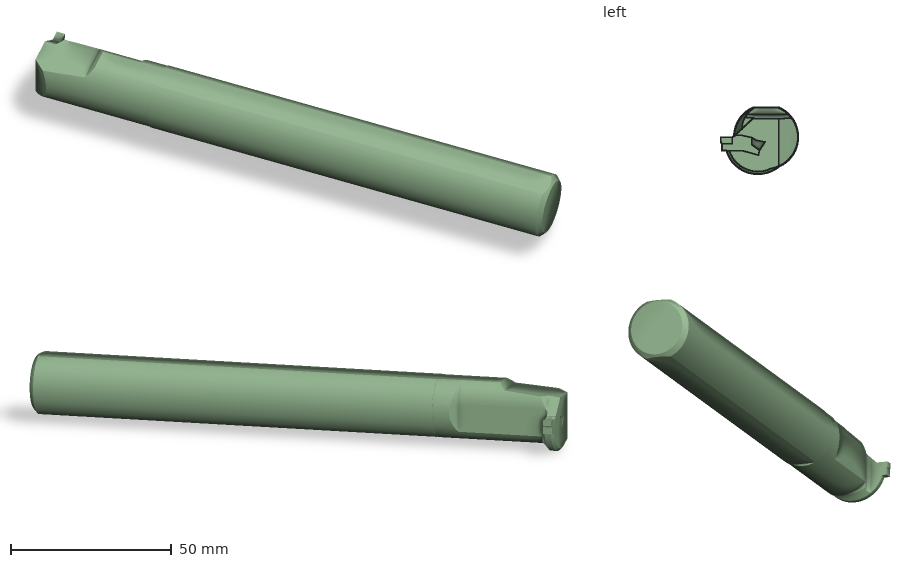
import cadquery as cq

BAR_LENGTH = 170.0
SHANK_RADIUS = 10.0
FLAT_HEIGHT = 9.2
END_CHAMFER = 1.5
HEAD_LENGTH = 39.8
HEAD_RADIUS = 9.9
CLEAR = 34.0

BLADE_CENTER_Y = 2.5
BLADE_CENTER_Z = -1.4
BLADE_RADIUS = 10.2
BLADE_BEVEL = 0.8
BLADE_RIM_END = 2.9
BLADE_BACK = 4.8

TOP_FRONT_HEIGHT = 5.6
TOP_BACK_HEIGHT = 7.1
TOP_RELIEF_END = 17.5
CORNER_LENGTH = 6.0
CORNER_START_Y = -3.9
CORNER_SIDE_Y = -10.0

INSERT_WIDTH = 2.9
NECK_RADIUS = 7.5
NECK_CENTER_Z = 2.5
NECK_FRONT_CHAMFER = 1.0
NECK_END = 32.0

NOTCH_WIDTH = 3.7
NOTCH_INNER = (4.0, 5.8)
NOTCH_OUTER = (9.2, 1.0)

TIP_Y = 14.1
TIP_INNER_Y = 10.5
TIP_RELIEF_DEPTH = 0.2
TIP_RELIEF_HEIGHT = 2.0
INSERT_TOP = 0.5
INSERT_TOP_OUTER = (9.5, INSERT_TOP)
INSERT_TOP_INNER = (7.5, INSERT_TOP)
INSERT_BACK_TOP = (4.5, -0.2)
INSERT_BACK_LOW = (4.5, -2.4)
INSERT_HEEL = (2.0, -4.0)
INSERT_BACK_BOTTOM = (2.4, -5.6)
INSERT_BOTTOM_BEND = (7.3, -4.2)
INSERT_OUTER_BOTTOM = (13.8, -4.2)
TIP_STEP = (13.8, -2.0)
TIP_EDGE_BOTTOM = (TIP_Y, -1.5)
POCKET_BEND = (3.0, -1.0)
POCKET_CORNER = (0.3, -1.5)


def yz_prism(points, depth):
    """Prism from X = 0 to depth with its outline in the YZ plane."""
    return cq.Workplane("YZ").polyline(points).close().extrude(depth)


def make_shank():
    shank = (
        cq.Workplane("YZ", origin=(HEAD_LENGTH, 0, 0))
        .circle(SHANK_RADIUS)
        .extrude(BAR_LENGTH - HEAD_LENGTH)
        .faces(">X")
        .chamfer(END_CHAMFER)
    )
    flats = cq.Workplane("XY").box(2 * BAR_LENGTH, CLEAR, 2 * FLAT_HEIGHT)
    return shank.intersect(flats)


def make_blade():
    """Disc with a beveled front edge and a 45 degree conical back."""
    back_radius = BLADE_RADIUS - (BLADE_BACK - BLADE_RIM_END)
    profile = [
        (0, 0),
        (0, BLADE_RADIUS - BLADE_BEVEL),
        (BLADE_BEVEL, BLADE_RADIUS),
        (BLADE_RIM_END, BLADE_RADIUS),
        (BLADE_BACK, back_radius),
        (BLADE_BACK, 0),
    ]
    return (
        cq.Workplane("XY", origin=(0, BLADE_CENTER_Y, BLADE_CENTER_Z))
        .polyline(profile)
        .close()
        .revolve(360, (0, 0), (1, 0))
    )


def make_top_relief():
    """Sloping flat over the tip, ending in a 45 degree wall up to the bar flat."""
    shoulder_end = TOP_RELIEF_END + FLAT_HEIGHT - TOP_BACK_HEIGHT
    profile = [
        (0, TOP_FRONT_HEIGHT),
        (TOP_RELIEF_END, TOP_BACK_HEIGHT),
        (shoulder_end, FLAT_HEIGHT),
        (HEAD_LENGTH, FLAT_HEIGHT),
        (HEAD_LENGTH, CLEAR),
        (0, CLEAR),
    ]
    return cq.Workplane("XZ").polyline(profile).close().extrude(CLEAR, both=True)


def make_corner_relief():
    slope = (CORNER_SIDE_Y - CORNER_START_Y) / CORNER_LENGTH
    far_y = CORNER_START_Y + slope * 2 * CORNER_LENGTH
    profile = [(0, CORNER_START_Y), (2 * CORNER_LENGTH, far_y), (0, far_y)]
    return cq.Workplane("XY").polyline(profile).close().extrude(CLEAR, both=True)


def make_neck_relief():
    """Straight side cut below the neck center and a quarter-round cut above it."""
    reach = TIP_Y
    rise = reach - NECK_RADIUS
    profile = [
        (INSERT_WIDTH, reach),
        (INSERT_WIDTH, NECK_RADIUS + NECK_FRONT_CHAMFER),
        (INSERT_WIDTH + NECK_FRONT_CHAMFER, NECK_RADIUS),
        (NECK_END, NECK_RADIUS),
        (NECK_END + rise, reach),
    ]
    plane = cq.Workplane("XY", origin=(0, 0, NECK_CENTER_Z))
    side = plane.polyline(profile).close().extrude(-CLEAR)
    upper = plane.polyline(profile).close().revolve(90, (0, 0), (1, 0))
    return side.union(upper)


def make_notch():
    """Inclined floor above the insert with a 45 degree back wall."""
    down = (0, NOTCH_OUTER[0] - NOTCH_INNER[0], NOTCH_OUTER[1] - NOTCH_INNER[1])
    plane = cq.Plane(origin=(0, *NOTCH_INNER), xDir=(1, 0, 0), normal=down)
    height = TIP_Y
    profile = [(0, 0), (NOTCH_WIDTH, 0), (NOTCH_WIDTH + height, -height), (0, -height)]
    return cq.Workplane(plane).polyline(profile).close().extrude(CLEAR, both=True)


def make_pocket():
    """Insert seat, with a gap behind the insert and open space above its tip."""
    outline = [
        (CLEAR, INSERT_OUTER_BOTTOM[1]),
        INSERT_BOTTOM_BEND,
        INSERT_BACK_BOTTOM,
        INSERT_HEEL,
        POCKET_CORNER,
        POCKET_BEND,
        INSERT_BACK_TOP,
        INSERT_TOP_INNER,
        INSERT_TOP_OUTER,
        (INSERT_TOP_OUTER[0], CLEAR),
        (CLEAR, CLEAR),
    ]
    return yz_prism(outline, INSERT_WIDTH)


def make_holder():
    head = cq.Workplane("YZ").circle(HEAD_RADIUS).extrude(HEAD_LENGTH)
    head = head.union(make_blade())
    head = head.cut(make_top_relief())
    head = head.cut(make_corner_relief())
    head = head.cut(make_neck_relief())
    head = head.cut(make_notch())
    head = head.cut(make_pocket())
    return head.union(make_shank())


def make_insert():
    outline = [
        (TIP_Y, 0),
        (TIP_INNER_Y, 0),
        INSERT_TOP_OUTER,
        INSERT_TOP_INNER,
        INSERT_BACK_TOP,
        INSERT_BACK_LOW,
        INSERT_HEEL,
        INSERT_BACK_BOTTOM,
        INSERT_BOTTOM_BEND,
        INSERT_OUTER_BOTTOM,
        TIP_STEP,
        TIP_EDGE_BOTTOM,
    ]
    tip_relief = [
        (TIP_INNER_Y, INSERT_TOP),
        (TIP_INNER_Y, -TIP_RELIEF_HEIGHT),
        (CLEAR, -TIP_RELIEF_HEIGHT),
        (CLEAR, INSERT_TOP),
    ]
    return yz_prism(outline, INSERT_WIDTH).cut(yz_prism(tip_relief, TIP_RELIEF_DEPTH))


holder = make_holder()
insert = make_insert()
result = cq.Compound.makeCompound([holder.val(), insert.val()])